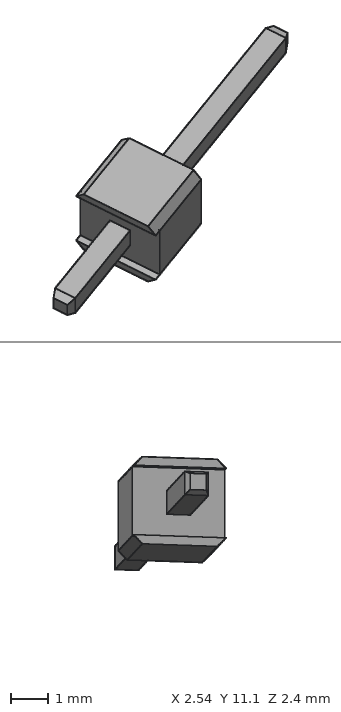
import cadquery as cq

pin_length = 11.1
pin_width = 0.64
tip_length = 0.24
tip_inset = 0.1

body_width = 2.54
body_height = 2.4
body_depth = 2.3
body_chamfer = 0.24
recess_depth = 0.21
pin_front_length = 2.8

body_front = -pin_length / 2 + pin_front_length
body_center = body_front + body_depth / 2


def make_body():
    """Block with chamfered long edges and a recess across its front face."""
    block = (
        cq.Workplane("XY")
        .box(body_width, body_depth, body_height)
        .edges("|Y")
        .chamfer(body_chamfer)
        .translate((0, body_center, 0))
    )
    recess_height = body_height - 2 * body_chamfer
    recess = (
        cq.Workplane("XY")
        .box(body_width, recess_depth, recess_height)
        .translate((0, body_front + recess_depth / 2, 0))
    )
    return block.cut(recess)


def make_pin():
    """Square pin with all four sides tapered at both tips."""
    shank_length = pin_length - 2 * tip_length
    tip_width = pin_width - 2 * tip_inset
    shank = cq.Workplane("XY").box(pin_width, shank_length, pin_width)
    front_tip = (
        shank.faces("<Y")
        .workplane(centerOption="CenterOfMass")
        .rect(pin_width, pin_width)
        .workplane(offset=tip_length)
        .rect(tip_width, tip_width)
        .loft(combine=False)
    )
    return shank.union(front_tip).union(front_tip.mirror("XZ"))


result = make_body().union(make_pin())